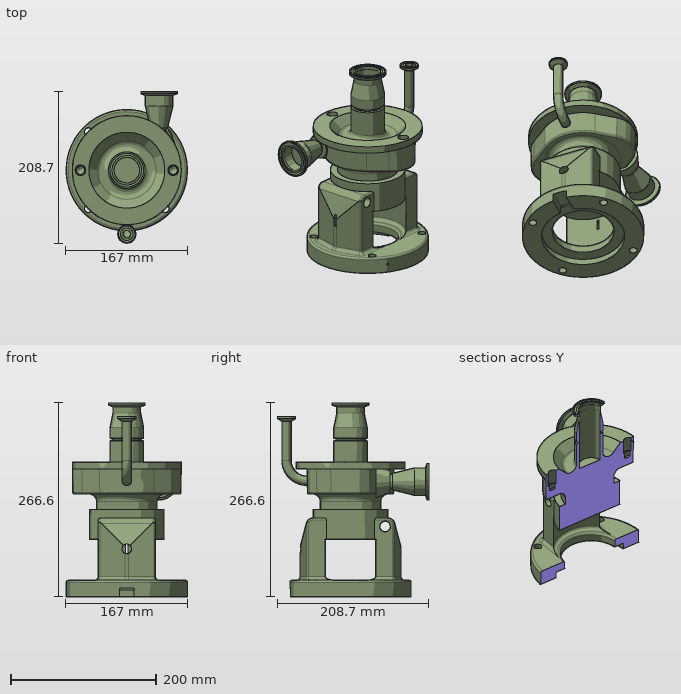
import cadquery as cq
import math

BASE_TOP = 22.8
RING_BOTTOM = 79.0
LEG_TOP = 108.5
RING_TOP = 120.3
CASING_BOTTOM = 141.2
FLANGE_BOTTOM = 175.9
FLANGE_TOP = 185.4
TOTAL_HEIGHT = 266.6

BASE_RADIUS = 83.5
BASE_EDGE_FILLET = 3.0
BORE_RADIUS = 42.5
BORE_EDGE_FILLET = 3.0
PILOT_RADIUS = 57.15
PILOT_DEPTH = 9.5
BOLT_CIRCLE_RADIUS = 74.6
BOLT_HOLE_DIAMETER = 10.7
NOTCH_WIDTH = 20.0
NOTCH_HEIGHT = 12.3
NOTCH_CORNER_FILLET = 1.5
VENT_DIAMETER = 2.4
VENT_DEPTH = 10.0
VENT_Y = 42.1
VENT_Z = 11.9

LEG_HALF_WIDTH = 39.3
LEG_SIDE_Y = 59.8
LEG_RIDGE_Y = 69.5
LEG_RIDGE_HALF_WIDTH = 2.3
LEG_INNER_Y = 20.0
LEG_INNER_RADIUS = 52.4
LEG_SIDE_FILLET = 3.0
LEG_TOP_FILLET = 10.0
LEG_FOOT_FILLET = 5.0
SLOPE_START_Z = 68.5
SLOPE_ANGLE = 14.7
WINDOW_Z = 66.0
WINDOW_DIAMETER = 13.0
SLIT_WIDTH = 3.0
SLIT_HEIGHT = 16.0
CROSS_HOLE_DIAMETER = 14.3
CROSS_HOLE_Y = 47.6
CROSS_HOLE_Z = 96.8

RING_RADIUS = 51.4
NECK_RADIUS = 41.8
NECK_FILLET = 10.0

CASING_RADIUS = 60.0
LUG_RADIUS = 35.0
LUG_X = 40.0
CASING_DRAFT = 1.0
CASING_EDGE_FILLET = 2.5

FLANGE_RADIUS = 75.0
DISH_RIM_RADIUS = 52.2
DISH_FILLET = 9.9
DISH_WALL_ANGLE = 45.0
LUG_HOLE_X = 63.75
LUG_HOLE_RADIUS = 7.3
LUG_HOLE_DEPTH = 22.0
LUG_TAP_RADIUS = 5.8
LUG_TAP_DEPTH = 30.0
DRILL_POINT_HALF_ANGLE = 59.0

TUBE_RADIUS = 23.2
TUBE_GROOVE_RADIUS = 20.3
TUBE_GROOVE_Z = 216.3
TUBE_GROOVE_HALF_WIDTH = 1.9
TUBE_GROOVE_FLOOR_HALF_WIDTH = 1.0
TAPER_BOTTOM = 232.6
TAPER_TOP = 253.1
INLET_BORE_RADIUS = 17.5
INLET_BORE_BOTTOM = 171.0

FERRULE_RADIUS = 25.25
FERRULE_NECK_RADIUS = 19.1
FERRULE_RIM = 3.0
FERRULE_LENGTH = 5.3
FERRULE_GROOVE_CENTRE = 21.75
FERRULE_GROOVE_RADIUS = 1.4

OUTLET_X = 44.4
OUTLET_Z = 158.4
OUTLET_FACE_Y = 108.2
OUTLET_TAPER_Y = 88.0
OUTLET_TIP_Y = 58.0
OUTLET_TIP_RADIUS = 11.6
OUTLET_THROAT_RADIUS = 8.7
OUTLET_BOSS_FACE_Y = 54.0
OUTLET_BOSS_FACE_RADIUS = 15.6
OUTLET_BOSS_ROOT_Y = 35.0
OUTLET_BOSS_ROOT_RADIUS = 22.2
OUTLET_BORE_DEPTH = 20.0

DRAIN_Y = -88.0
DRAIN_Z = 159.6
DRAIN_TOP = 248.0
DRAIN_RADIUS = 6.5
DRAIN_BORE_RADIUS = 5.2
DRAIN_BEND_RADIUS = 28.0
DRAIN_EMBED_Y = -50.0
DRAIN_FERRULE_RADIUS = 12.5
DRAIN_FERRULE_LENGTH = 6.7
DRAIN_GROOVE_CENTRE = 10.0

PICK_MARGIN = 0.1


def disc(radius, bottom, top):
    """Upright cylinder about the Z axis."""
    return cq.Workplane("XY").workplane(offset=bottom).circle(radius).extrude(top - bottom)


def revolve_about_z(profile):
    """Full turn of a profile drawn in the XZ plane, about the Z axis."""
    return profile.close().revolve(360, (0, 0, 0), (0, 1, 0))


def on_outlet_axis(solid):
    """Turns a body built along +Z to point along +Y, and moves it to the outlet axis."""
    return solid.rotate((0, 0, 0), (1, 0, 0), -90).translate((OUTLET_X, 0, OUTLET_Z))


def face_groove(face_z, centre_radius):
    """Half-round gasket groove in a ferrule face."""
    return (
        cq.Workplane("XZ")
        .center(centre_radius, face_z)
        .circle(FERRULE_GROOVE_RADIUS)
        .revolve(360, (-centre_radius, 0, 0), (-centre_radius, 1, 0))
    )


def leg_blank():
    """Leg on the +Y side: ridged outer face, sloped shoulder and rounded edges."""
    blank = (
        cq.Workplane("XY")
        .workplane(offset=BASE_TOP)
        .moveTo(-LEG_HALF_WIDTH, LEG_INNER_Y)
        .lineTo(-LEG_HALF_WIDTH, LEG_SIDE_Y)
        .lineTo(-LEG_RIDGE_HALF_WIDTH, LEG_RIDGE_Y)
        .lineTo(LEG_RIDGE_HALF_WIDTH, LEG_RIDGE_Y)
        .lineTo(LEG_HALF_WIDTH, LEG_SIDE_Y)
        .lineTo(LEG_HALF_WIDTH, LEG_INNER_Y)
        .close()
        .extrude(LEG_TOP - BASE_TOP)
    )
    slope = math.radians(SLOPE_ANGLE)
    slope_run = (LEG_TOP - SLOPE_START_Z) * math.tan(slope)
    shoulder_y = LEG_RIDGE_Y - slope_run
    tangent_length = LEG_TOP_FILLET * math.tan((math.pi / 2 - slope) / 2)
    arc_centre_y = shoulder_y - tangent_length
    arc_centre_z = LEG_TOP - LEG_TOP_FILLET
    mid_angle = (math.pi / 2 + slope) / 2
    shoulder = (
        cq.Workplane("YZ")
        .moveTo(LEG_RIDGE_Y, SLOPE_START_Z)
        .lineTo(
            shoulder_y + tangent_length * math.sin(slope),
            LEG_TOP - tangent_length * math.cos(slope),
        )
        .threePointArc(
            (
                arc_centre_y + LEG_TOP_FILLET * math.cos(mid_angle),
                arc_centre_z + LEG_TOP_FILLET * math.sin(mid_angle),
            ),
            (arc_centre_y, LEG_TOP),
        )
        .lineTo(LEG_RIDGE_Y, LEG_TOP)
        .close()
        .extrude(LEG_HALF_WIDTH, both=True)
    )
    blank = blank.cut(shoulder)
    return blank.faces("<X or >X").edges("not(<Y or <Z)").fillet(LEG_SIDE_FILLET)


def make_frame():
    """Base disc with both legs, hollowed below the lantern ring."""
    back_leg = leg_blank()
    front_leg = back_leg.mirror("XZ")
    legs = back_leg.union(front_leg).cut(disc(LEG_INNER_RADIUS, BASE_TOP, RING_BOTTOM))
    base = disc(BASE_RADIUS, 0, BASE_TOP).faces(">Z").edges().fillet(BASE_EDGE_FILLET)
    frame = base.union(legs)
    foot = cq.selectors.BoxSelector(
        (-LEG_HALF_WIDTH - PICK_MARGIN, -LEG_RIDGE_Y - PICK_MARGIN, BASE_TOP - PICK_MARGIN),
        (LEG_HALF_WIDTH + PICK_MARGIN, LEG_RIDGE_Y + PICK_MARGIN, BASE_TOP + PICK_MARGIN),
    )
    frame = frame.edges(foot).fillet(LEG_FOOT_FILLET)
    frame = frame.cut(disc(BORE_RADIUS, 0, BASE_TOP))
    mouth = cq.selectors.BoxSelector(
        (-BORE_RADIUS, -BORE_RADIUS, BASE_TOP - PICK_MARGIN),
        (BORE_RADIUS, BORE_RADIUS, BASE_TOP + PICK_MARGIN),
        boundingbox=False,
    )
    frame = frame.edges(mouth).fillet(BORE_EDGE_FILLET)
    return frame.cut(disc(PILOT_RADIUS, 0, PILOT_DEPTH))


def cut_base_details(frame):
    """Bolt holes, drain notch and vent hole of the base."""
    bolt_square = BOLT_CIRCLE_RADIUS * math.sqrt(2)
    bolts = (
        cq.Workplane("XY")
        .rect(bolt_square, bolt_square, forConstruction=True)
        .vertices()
        .circle(BOLT_HOLE_DIAMETER / 2)
        .extrude(BASE_TOP)
    )
    notch = (
        cq.Workplane("XY")
        .box(NOTCH_WIDTH, BASE_RADIUS, NOTCH_HEIGHT, centered=(True, False, False))
        .edges("|Y and >Z")
        .fillet(NOTCH_CORNER_FILLET)
        .translate((0, -BASE_RADIUS, 0))
        .cut(disc(PILOT_RADIUS, 0, BASE_TOP))
    )
    vent = (
        cq.Workplane("YZ", origin=(-BASE_RADIUS, VENT_Y, VENT_Z))
        .circle(VENT_DIAMETER / 2)
        .extrude(BASE_RADIUS - math.sqrt(BASE_RADIUS**2 - VENT_Y**2) + VENT_DEPTH)
    )
    return frame.cut(bolts).cut(notch).cut(vent)


def cut_leg_openings(body):
    """Round window in the front leg, slit in the back leg, cross hole along X in the back leg."""
    window = (
        cq.Workplane("XZ", origin=(0, 0, WINDOW_Z))
        .circle(WINDOW_DIAMETER / 2)
        .extrude(BASE_RADIUS)
    )
    slit = cq.Workplane("XY", origin=(0, 0, WINDOW_Z)).box(
        SLIT_WIDTH, BASE_RADIUS, SLIT_HEIGHT, centered=(True, False, True)
    )
    cross_hole = (
        cq.Workplane("YZ", origin=(0, CROSS_HOLE_Y, CROSS_HOLE_Z))
        .circle(CROSS_HOLE_DIAMETER / 2)
        .extrude(BASE_RADIUS, both=True)
    )
    return body.cut(window).cut(slit).cut(cross_hole)


def make_ring_and_neck():
    """Lantern ring and the neck that flares into the casing underside."""
    flare_z = CASING_BOTTOM - NECK_FILLET
    flare_mid = NECK_FILLET * math.sqrt(0.5)
    profile = (
        cq.Workplane("XZ")
        .moveTo(0, RING_BOTTOM)
        .lineTo(RING_RADIUS, RING_BOTTOM)
        .lineTo(RING_RADIUS, RING_TOP)
        .lineTo(NECK_RADIUS, RING_TOP)
        .lineTo(NECK_RADIUS, flare_z)
        .threePointArc(
            (NECK_RADIUS + NECK_FILLET - flare_mid, flare_z + flare_mid),
            (NECK_RADIUS + NECK_FILLET, CASING_BOTTOM),
        )
        .lineTo(NECK_RADIUS + NECK_FILLET, CASING_BOTTOM + CASING_EDGE_FILLET)
        .lineTo(0, CASING_BOTTOM + CASING_EDGE_FILLET)
    )
    return revolve_about_z(profile)


def make_casing():
    """Drafted casing: a central circle joined to two side lugs by tangent flats."""
    cos_t = (CASING_RADIUS - LUG_RADIUS) / LUG_X
    sin_t = math.sqrt(1 - cos_t**2)
    main_x, main_y = CASING_RADIUS * cos_t, CASING_RADIUS * sin_t
    lug_x, lug_y = LUG_X + LUG_RADIUS * cos_t, LUG_RADIUS * sin_t
    lug_end = LUG_X + LUG_RADIUS
    return (
        cq.Workplane("XY", origin=(0, 0, FLANGE_BOTTOM))
        .moveTo(-main_x, main_y)
        .threePointArc((0, CASING_RADIUS), (main_x, main_y))
        .lineTo(lug_x, lug_y)
        .threePointArc((lug_end, 0), (lug_x, -lug_y))
        .lineTo(main_x, -main_y)
        .threePointArc((0, -CASING_RADIUS), (-main_x, -main_y))
        .lineTo(-lug_x, -lug_y)
        .threePointArc((-lug_end, 0), (-lug_x, lug_y))
        .close()
        .extrude(CASING_BOTTOM - FLANGE_BOTTOM, taper=CASING_DRAFT)
        .faces("<Z")
        .edges()
        .fillet(CASING_EDGE_FILLET)
    )


def dish_tool():
    """Dish around the inlet tube: sloped wall, then a fillet up to the tube."""
    wall = math.radians(DISH_WALL_ANGLE)
    floor_radius = TUBE_RADIUS + DISH_FILLET * (1 + math.sin(wall))
    floor_z = FLANGE_TOP - (DISH_RIM_RADIUS - floor_radius) * math.tan(wall)
    arc_x = TUBE_RADIUS + DISH_FILLET
    arc_z = floor_z + DISH_FILLET * math.cos(wall)
    mid_angle = (wall - math.pi / 2 - math.pi) / 2
    profile = (
        cq.Workplane("XZ")
        .moveTo(TUBE_RADIUS, FLANGE_TOP)
        .lineTo(DISH_RIM_RADIUS, FLANGE_TOP)
        .lineTo(floor_radius, floor_z)
        .threePointArc(
            (arc_x + DISH_FILLET * math.cos(mid_angle), arc_z + DISH_FILLET * math.sin(mid_angle)),
            (TUBE_RADIUS, arc_z),
        )
    )
    return revolve_about_z(profile)


def lug_hole(x):
    """Stepped blind hole with a drill point in one casing lug."""
    point_length = LUG_TAP_RADIUS / math.tan(math.radians(DRILL_POINT_HALF_ANGLE))
    tap_bottom = FLANGE_TOP - LUG_TAP_DEPTH
    profile = (
        cq.Workplane("XZ")
        .moveTo(0, FLANGE_TOP)
        .lineTo(LUG_HOLE_RADIUS, FLANGE_TOP)
        .lineTo(LUG_HOLE_RADIUS, FLANGE_TOP - LUG_HOLE_DEPTH)
        .lineTo(LUG_TAP_RADIUS, FLANGE_TOP - LUG_HOLE_DEPTH)
        .lineTo(LUG_TAP_RADIUS, tap_bottom)
        .lineTo(0, tap_bottom - point_length)
    )
    return revolve_about_z(profile).translate((x, 0, 0))


def make_inlet():
    """Inlet tube with its groove, taper and clamp ferrule."""
    profile = (
        cq.Workplane("XZ")
        .moveTo(0, INLET_BORE_BOTTOM)
        .lineTo(TUBE_RADIUS, INLET_BORE_BOTTOM)
        .lineTo(TUBE_RADIUS, TUBE_GROOVE_Z - TUBE_GROOVE_HALF_WIDTH)
        .lineTo(TUBE_GROOVE_RADIUS, TUBE_GROOVE_Z - TUBE_GROOVE_FLOOR_HALF_WIDTH)
        .lineTo(TUBE_GROOVE_RADIUS, TUBE_GROOVE_Z + TUBE_GROOVE_FLOOR_HALF_WIDTH)
        .lineTo(TUBE_RADIUS, TUBE_GROOVE_Z + TUBE_GROOVE_HALF_WIDTH)
        .lineTo(TUBE_RADIUS, TAPER_BOTTOM)
        .lineTo(FERRULE_NECK_RADIUS, TAPER_TOP)
        .lineTo(FERRULE_NECK_RADIUS, TOTAL_HEIGHT - FERRULE_LENGTH)
        .lineTo(FERRULE_RADIUS, TOTAL_HEIGHT - FERRULE_RIM)
        .lineTo(FERRULE_RADIUS, TOTAL_HEIGHT)
        .lineTo(0, TOTAL_HEIGHT)
    )
    return revolve_about_z(profile).cut(face_groove(TOTAL_HEIGHT, FERRULE_GROOVE_CENTRE))


def make_outlet():
    """Tangential outlet nozzle: casing boss, short throat, taper and clamp ferrule."""
    profile = (
        cq.Workplane("XZ")
        .moveTo(0, OUTLET_BOSS_ROOT_Y)
        .lineTo(OUTLET_BOSS_ROOT_RADIUS, OUTLET_BOSS_ROOT_Y)
        .lineTo(OUTLET_BOSS_FACE_RADIUS, OUTLET_BOSS_FACE_Y)
        .lineTo(OUTLET_THROAT_RADIUS, OUTLET_BOSS_FACE_Y)
        .lineTo(OUTLET_TIP_RADIUS, OUTLET_TIP_Y)
        .lineTo(FERRULE_NECK_RADIUS, OUTLET_TAPER_Y)
        .lineTo(FERRULE_NECK_RADIUS, OUTLET_FACE_Y - FERRULE_LENGTH)
        .lineTo(FERRULE_RADIUS, OUTLET_FACE_Y - FERRULE_RIM)
        .lineTo(FERRULE_RADIUS, OUTLET_FACE_Y)
        .lineTo(0, OUTLET_FACE_Y)
    )
    nozzle = (
        revolve_about_z(profile)
        .cut(face_groove(OUTLET_FACE_Y, FERRULE_GROOVE_CENTRE))
        .cut(disc(INLET_BORE_RADIUS, OUTLET_FACE_Y - OUTLET_BORE_DEPTH, OUTLET_FACE_Y))
    )
    return on_outlet_axis(nozzle)


def drain_run(radius):
    """Round bar along the drain path: down from the ferrule, round the bend, into the casing."""
    bend_top = DRAIN_Z + DRAIN_BEND_RADIUS
    bend_end = DRAIN_Y + DRAIN_BEND_RADIUS
    sag = DRAIN_BEND_RADIUS * math.sqrt(0.5)
    path = (
        cq.Workplane("YZ")
        .moveTo(DRAIN_Y, DRAIN_TOP)
        .lineTo(DRAIN_Y, bend_top)
        .threePointArc((bend_end - sag, bend_top - sag), (bend_end, DRAIN_Z))
        .lineTo(DRAIN_EMBED_Y, DRAIN_Z)
    )
    return cq.Workplane("XY", origin=(0, DRAIN_Y, DRAIN_TOP)).circle(radius).sweep(path)


def make_drain():
    """Drain pipe with its small clamp ferrule, not yet bored."""
    profile = (
        cq.Workplane("XZ")
        .moveTo(0, DRAIN_TOP - DRAIN_FERRULE_LENGTH)
        .lineTo(DRAIN_RADIUS, DRAIN_TOP - DRAIN_FERRULE_LENGTH)
        .lineTo(DRAIN_FERRULE_RADIUS, DRAIN_TOP - FERRULE_RIM)
        .lineTo(DRAIN_FERRULE_RADIUS, DRAIN_TOP)
        .lineTo(0, DRAIN_TOP)
    )
    ferrule = revolve_about_z(profile).cut(face_groove(DRAIN_TOP, DRAIN_GROOVE_CENTRE))
    return drain_run(DRAIN_RADIUS).union(ferrule.translate((0, DRAIN_Y, 0)))


frame = cut_base_details(make_frame())
support = cut_leg_openings(frame.union(make_ring_and_neck()))

head = make_casing().union(disc(FLANGE_RADIUS, FLANGE_BOTTOM, FLANGE_TOP))
head = head.union(make_outlet()).cut(dish_tool())
for side in (-1, 1):
    head = head.cut(lug_hole(side * LUG_HOLE_X))
head = head.union(make_inlet()).union(make_drain())
head = head.cut(disc(INLET_BORE_RADIUS, INLET_BORE_BOTTOM, TOTAL_HEIGHT))
head = head.cut(drain_run(DRAIN_BORE_RADIUS))

result = support.union(head)